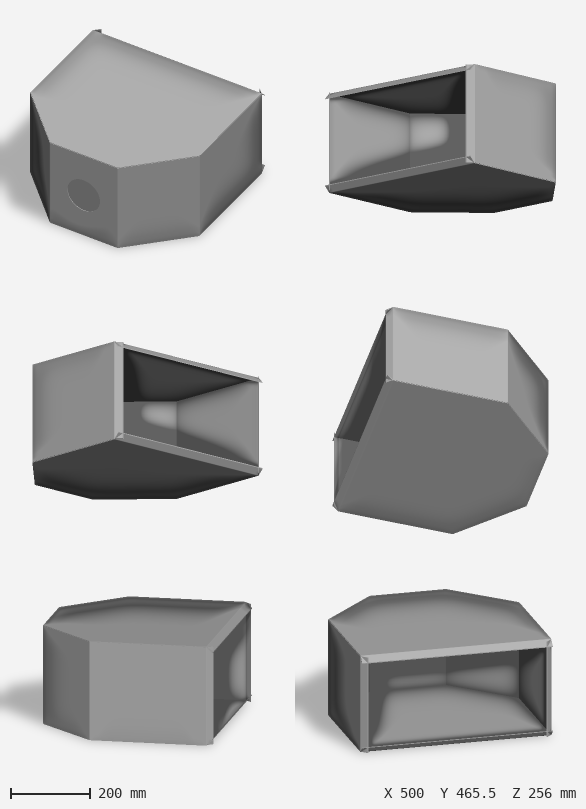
import cadquery as cq

width = 500.0
depth = 465.5
height = 256.0
body_depth = 450.5
corner_cut = 150.0
sheet = 1.5
bend_radius = 3.5
hole_diameter = 96.0
plate_inset = 1.0

half_width = width / 2
front_y = -depth / 2
rear_y = depth / 2
fold_y = front_y + body_depth
wall_height = height - 2 * sheet
lip_run = 2 * (depth - body_depth)
slot_y = (fold_y + rear_y) / 2


def wall_outline():
    """Plan of the wrapped wall, its rear corners folded inwards at 45 degrees."""
    half_front = half_width - corner_cut
    lip_end_x = half_width - lip_run
    return cq.Workplane("XY").polyline([
        (-half_front, front_y),
        (half_front, front_y),
        (half_width, front_y + corner_cut),
        (half_width, fold_y),
        (lip_end_x, fold_y + lip_run),
        (-lip_end_x, fold_y + lip_run),
        (-half_width, fold_y),
        (-half_width, front_y + corner_cut),
    ]).close()


def side_outline():
    """Side outline of the plates, its rear edges folded inwards at 45 degrees."""
    half_height = height / 2
    lip_end_z = half_height - lip_run
    front_end_y = front_y - bend_radius
    return cq.Workplane("YZ").polyline([
        (front_end_y, -half_height),
        (fold_y, -half_height),
        (fold_y + lip_run, -lip_end_z),
        (fold_y + lip_run, lip_end_z),
        (fold_y, half_height),
        (front_end_y, half_height),
    ]).close()


def folded_tube(outline, length, fold_edges):
    """Hollow sheet tube with rounded folds, cut open at the ends of the rear lips."""
    outer = outline().extrude(length / 2, both=True).edges(fold_edges).fillet(bend_radius)
    inner = outline().offset2D(-sheet).extrude(length / 2, both=True)
    inner = inner.edges(fold_edges).fillet(bend_radius - sheet)
    opening = cq.Workplane("XY").box(2 * width, depth, 2 * width).translate((0, rear_y + depth / 2, 0))
    return outer.cut(inner).cut(opening)


def make_raw_wall():
    wall = folded_tube(wall_outline, wall_height, "|Z")
    hole_depth = corner_cut
    hole = (
        cq.Workplane("XZ", origin=(0, front_y + hole_depth / 2, 0))
        .circle(hole_diameter / 2)
        .extrude(hole_depth, both=True)
    )
    return wall.cut(hole)


def make_raw_top_plate():
    """Flat top with a lip folded down, cut to the plan of the wall without its rear folds."""
    plate_half_width = half_width - plate_inset
    plate_front_y = front_y + plate_inset
    inset_cut = corner_cut - plate_inset * (2 - 2 ** 0.5)
    plan = (
        cq.Workplane("XY")
        .polyline([
            (-plate_half_width + inset_cut, plate_front_y),
            (plate_half_width - inset_cut, plate_front_y),
            (plate_half_width, plate_front_y + inset_cut),
            (plate_half_width, rear_y),
            (-plate_half_width, rear_y),
            (-plate_half_width, plate_front_y + inset_cut),
        ])
        .close()
        .extrude(height)
    )
    return folded_tube(side_outline, width, "|X").intersect(plan)


def mirrored_down(plate):
    return plate.mirror("XY")


def ahead_of_slot_end(body):
    """Part of a body in front of the meeting point of the lip slots."""
    space = cq.Workplane("XY").box(2 * width, depth, 2 * height)
    return body.intersect(space.translate((0, slot_y - depth / 2, 0)))


raw_wall = make_raw_wall()
raw_plate = make_raw_top_plate()
front_of_plate = ahead_of_slot_end(raw_plate)
wall = raw_wall.cut(front_of_plate).cut(mirrored_down(front_of_plate))
top_plate = raw_plate.cut(wall)
bottom_plate = mirrored_down(top_plate)

bodies = [wall, top_plate, bottom_plate]
result = cq.Compound.makeCompound([body.solids().val() for body in bodies])